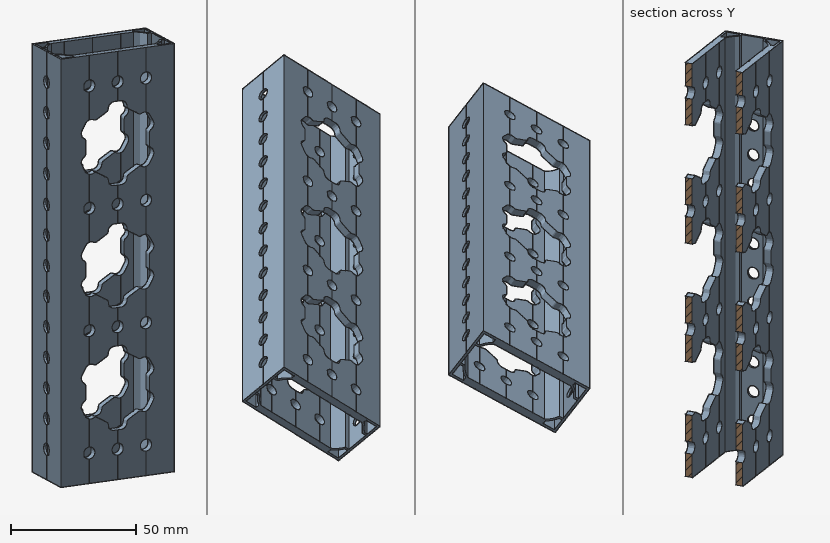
import cadquery as cq
import math

LENGTH = 177.8
PITCH = LENGTH / 14
WIDTH = 2 * PITCH
DEPTH = 4 * PITCH
HALF_X = WIDTH / 2
HALF_Y = DEPTH / 2

SIDE_WALL = 3.2
END_WALL = 1.0
INNER_X = HALF_X - SIDE_WALL
INNER_Y = HALF_Y - END_WALL

WEB = 0.9
WEB_RADIUS = 11.0
CAVITY_END_HALF_WIDTH = 5.2
CHANNEL_LENGTH = 5.3

HOLE_DIAMETER = 5.0
END_HOLE_COUNT = 13
ROW_SPACING = 4 * PITCH
ROW_COUNT = 4
WINDOW_COUNT = 3
FIRST_WINDOW_Z = PITCH + ROW_SPACING / 2
GROOVE_WIDTH = 0.2
GROOVE_DEPTH = 0.2

LOBE_COUNT = 6
SPLINE_TIP = 17.5
SPLINE_FLAT = 14.2
LOBE_WIDTH = 8.4
LOBE_TIP_FILLET = 2.7
LOBE_ROOT_FILLET = 1.5


def height_on_circle(radius, x):
    """Y of a circle centred on the grid point (0, PITCH) at a given X."""
    return PITCH + math.sqrt(radius**2 - x**2)


def point_on_diagonal(radius):
    """Point at 45 degrees on a circle centred on the grid point (0, PITCH)."""
    leg = radius * math.sqrt(0.5)
    return (leg, PITCH + leg)


def in_four_corners(shape):
    """Shape in the +X +Y quadrant, repeated in the other three by mirroring."""
    shape = shape.union(shape.mirror("YZ"))
    return shape.union(shape.mirror("XZ"))


def main_cavity():
    """Central opening: flat walls joined by concave arcs at the corners."""
    quadrant = (
        cq.Workplane("XY")
        .lineTo(INNER_X, 0)
        .lineTo(INNER_X, height_on_circle(WEB_RADIUS, INNER_X))
        .threePointArc(
            point_on_diagonal(WEB_RADIUS),
            (CAVITY_END_HALF_WIDTH, height_on_circle(WEB_RADIUS, CAVITY_END_HALF_WIDTH)),
        )
        .lineTo(CAVITY_END_HALF_WIDTH, INNER_Y)
        .lineTo(0, INNER_Y)
        .close()
        .extrude(LENGTH)
    )
    return in_four_corners(quadrant)


def corner_channels():
    """Hollow channels in the tube corners, outside the curved webs."""
    radius = WEB_RADIUS + WEB
    outer_x = HALF_X - END_WALL
    near_x = CAVITY_END_HALF_WIDTH + WEB
    near_y = INNER_Y - CHANNEL_LENGTH
    lip_x = math.sqrt(radius**2 - (near_y - PITCH)**2)
    channel = (
        cq.Workplane("XY")
        .moveTo(outer_x, INNER_Y)
        .lineTo(near_x, INNER_Y)
        .lineTo(near_x, height_on_circle(radius, near_x))
        .threePointArc(point_on_diagonal(radius), (lip_x, near_y))
        .lineTo(outer_x, near_y)
        .close()
        .extrude(LENGTH)
    )
    return in_four_corners(channel)


def groove(x, y, across_x):
    """Diamond bar along Z; half of it sinks into a face as a shallow V groove."""
    half_x = GROOVE_WIDTH / 2 if across_x else GROOVE_DEPTH
    half_y = GROOVE_DEPTH if across_x else GROOVE_WIDTH / 2
    diamond = [(x - half_x, y), (x, y - half_y), (x + half_x, y), (x, y + half_y)]
    return cq.Workplane("XY").polyline(diamond).close().extrude(LENGTH)


def grooves():
    """Scribe lines along every column of holes, on both faces of the wide walls."""
    bars = groove(0, HALF_Y, True).union(groove(0, -HALF_Y, True))
    for x in (-HALF_X, -INNER_X, INNER_X, HALF_X):
        for y in (-PITCH, 0, PITCH):
            bars = bars.union(groove(x, y, False))
    return bars


def end_holes():
    """One column of holes through both narrow walls."""
    points = [(0, (i + 1) * PITCH) for i in range(END_HOLE_COUNT)]
    plane = cq.Workplane("XZ").pushPoints(points)
    return plane.circle(HOLE_DIAMETER / 2).extrude(HALF_Y, both=True)


def side_holes():
    """Rows of three holes through both wide walls."""
    points = [
        (y, PITCH + row * ROW_SPACING)
        for row in range(ROW_COUNT)
        for y in (-PITCH, 0, PITCH)
    ]
    plane = cq.Workplane("YZ").pushPoints(points)
    return plane.circle(HOLE_DIAMETER / 2).extrude(HALF_X, both=True)


def spline_outline():
    """Sharp-cornered outline points of the six-lobed window, about its own centre."""
    half = LOBE_WIDTH / 2
    half_step = math.pi / LOBE_COUNT
    root = (SPLINE_FLAT - half * math.sin(half_step)) / math.cos(half_step)
    points = []
    for i in range(LOBE_COUNT):
        angle = math.pi / 2 + 2 * i * half_step
        for radial, side in ((root, -half), (SPLINE_TIP, -half), (SPLINE_TIP, half), (root, half)):
            points.append((
                radial * math.cos(angle) - side * math.sin(angle),
                radial * math.sin(angle) + side * math.cos(angle),
            ))
    return points


def distance_from_axis(edge):
    """Distance of an edge parallel to X from the X axis."""
    return math.hypot(edge.Center().y, edge.Center().z)


def spline_windows():
    """Rounded six-lobed windows through both wide walls, midway between the hole rows."""
    cutter = cq.Workplane("YZ").polyline(spline_outline()).close().extrude(HALF_X, both=True)
    tip_limit = (SPLINE_FLAT + SPLINE_TIP) / 2
    cutter = (
        cutter.edges("|X").filter(lambda edge: distance_from_axis(edge) < tip_limit)
        .fillet(LOBE_ROOT_FILLET)
        .edges("|X").filter(lambda edge: distance_from_axis(edge) > SPLINE_TIP)
        .fillet(LOBE_TIP_FILLET)
    )
    windows = cq.Workplane("XY")
    for i in range(WINDOW_COUNT):
        windows = windows.union(cutter.translate((0, 0, FIRST_WINDOW_Z + i * ROW_SPACING)))
    return windows


tube = cq.Workplane("XY").box(WIDTH, DEPTH, LENGTH, centered=(True, True, False))
tube = tube.cut(main_cavity()).cut(corner_channels()).cut(grooves())
result = tube.cut(end_holes()).cut(side_holes()).cut(spline_windows())